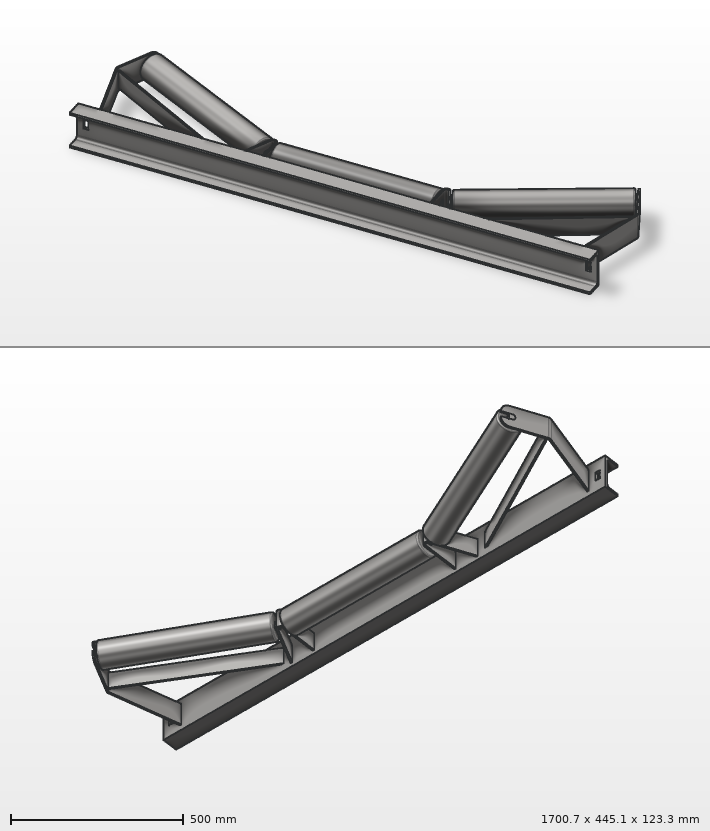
import cadquery as cq
import math


beam_length = 1697.0
beam_height = 120.0
beam_depth = 56.0
web_thickness = 10.0
flange_thickness = 7.1
root_radius = 10.0
slot_width = 17.0
slot_height = 30.0
slot_offset = 820.0

roller_length = 530.0
roller_radius = 45.0
roller_end_radius = 5.0
axle_width = 20.0
trough_angle = 25.0
forward_tilt = 2.0
middle_axis_y = 115.0
middle_roller_below_beam = 3.0
middle_axis_z = roller_radius - beam_height / 2 - middle_roller_below_beam
wing_outer_end = (-789.0, 350.0)

sheet = 6.0
roller_gap = 7.0
middle_roller_gap = 4.3

outer_bracket_width = 80.0
outer_foot_x = -785.0
outer_bend_y = 247.0
outer_bend_radius = 17.0
plate_corner = 27.0
plate_reach = 35.0

inner_bracket_top = 19.0
inner_bracket_bottom = -46.0
inner_bend_radius = 14.0
middle_leg_x = -roller_length / 2 - middle_roller_gap

strut_width = 60.0
strut_foot_x = -398.0



def shifted(point, direction, distance):
    return (point[0] + direction[0] * distance, point[1] + direction[1] * distance)


def unit_vector(start, end):
    length = math.dist(start, end)
    return ((end[0] - start[0]) / length, (end[1] - start[1]) / length)


def on_line_at_x(point, direction, x):
    return (x, point[1] + (x - point[0]) * direction[1] / direction[0])


def on_line_at_y(point, direction, y):
    return (point[0] + (y - point[1]) * direction[0] / direction[1], y)


def crossing(first_point, first_direction, second_point, second_direction):
    """Where two lines meet, each given by a point and a direction."""
    gap = (second_point[0] - first_point[0], second_point[1] - first_point[1])
    cross = first_direction[0] * second_direction[1] - first_direction[1] * second_direction[0]
    distance = (gap[0] * second_direction[1] - gap[1] * second_direction[0]) / cross
    return shifted(first_point, first_direction, distance)


tilt = math.radians(forward_tilt)
rise = math.radians(trough_angle)
along = (math.cos(rise), -math.sin(rise))
across = (math.sin(rise), math.cos(rise))
wing_inner_end = shifted(wing_outer_end, along, roller_length * math.cos(tilt))

plate_outer_face = shifted(wing_outer_end, along, -roller_gap - sheet)
plate_inner_face = shifted(wing_outer_end, along, -roller_gap)
outer_foot = (outer_foot_x, 0)
outer_bend = on_line_at_y(plate_outer_face, across, outer_bend_y)
leg_direction = unit_vector(outer_foot, outer_bend)
leg_inner_foot = shifted(outer_foot, (1, 0), sheet / leg_direction[1])
inner_bend = crossing(plate_inner_face, across, leg_inner_foot, leg_direction)



def sheet_piece(outline, bottom, top):
    return cq.Workplane("XY").workplane(offset=bottom).polyline(outline).close().extrude(top - bottom)


def rounded_bend(piece, corner, radius):
    """Round the Z edge of a sheet piece that passes through an XY corner."""
    reach = 0.2
    low = (corner[0] - reach, corner[1] - reach, -beam_height)
    high = (corner[0] + reach, corner[1] + reach, beam_height)
    return piece.edges("|Z").edges(cq.selectors.BoxSelector(low, high)).fillet(radius)


def axle_bar(start, end, height):
    """Bar along X about the axle line: round below, flat at the given height above the line."""
    radius = axle_width / 2
    return (
        cq.Workplane("YZ")
        .workplane(offset=start)
        .moveTo(height, -radius)
        .lineTo(0, -radius)
        .threePointArc((-radius, 0), (0, radius))
        .lineTo(height, radius)
        .close()
        .extrude(end - start)
    )


def placed_in_wing(piece):
    """Move a piece from the roller's own frame to the left wing."""
    return (
        piece.rotate((0, 0, 0), (0, 1, 0), forward_tilt)
        .rotate((0, 0, 0), (0, 0, 1), -trough_angle)
        .translate((*wing_outer_end, 0))
    )



def make_beam():
    middle_y = -beam_depth / 2
    beam = cq.Workplane("XY").box(beam_length, beam_depth, beam_height).translate((0, middle_y, 0))
    trough = (
        cq.Workplane("XY")
        .box(beam_length, beam_depth, beam_height - 2 * flange_thickness)
        .edges("|X and >Y")
        .fillet(root_radius)
        .translate((0, middle_y - web_thickness, 0))
    )
    slots = (
        cq.Workplane("XZ")
        .pushPoints([(-slot_offset, 0), (slot_offset, 0)])
        .rect(slot_width, slot_height)
        .extrude(beam_depth)
    )
    return beam.cut(trough).cut(slots)


def make_roller():
    """Roller along +X from its end face at the origin, with axle ends that reach through the sheet."""
    overhang = roller_gap + sheet
    shell = cq.Workplane("YZ").circle(roller_radius).extrude(roller_length).edges().fillet(roller_end_radius)
    return shell.union(axle_bar(-overhang, roller_length + overhang, axle_width / 2))


def make_outer_bracket():
    """Bent plate that holds the wing roller's outer axle end in a slot open at the tip."""
    outer_tip = shifted(plate_outer_face, across, plate_reach)
    inner_tip = shifted(plate_inner_face, across, plate_reach)
    outline = [outer_foot, outer_bend, outer_tip, inner_tip, inner_bend, leg_inner_foot]
    half_width = outer_bracket_width / 2
    bracket = sheet_piece(outline, -half_width, half_width)

    tip_middle = shifted(outer_tip, along, sheet / 2)
    for corner_z in (-half_width, half_width):
        corner = cq.selectors.NearestToPointSelector((*tip_middle, corner_z))
        bracket = bracket.edges(corner).fillet(plate_corner)

    bracket = rounded_bend(bracket, outer_bend, outer_bend_radius)
    bracket = rounded_bend(bracket, inner_bend, outer_bend_radius - sheet)

    slot_depth = 2 * (roller_gap + sheet)
    slot = axle_bar(-slot_depth, 0, 2 * plate_reach)
    return bracket.cut(placed_in_wing(slot))


def make_inner_bracket(wing_roller, middle_roller):
    """Folded plate between two rollers, with holes that fit their axle ends."""
    wing_face = shifted(wing_inner_end, along, roller_gap)
    wing_back = shifted(wing_face, along, sheet)
    middle_back_x = middle_leg_x - sheet
    outer_fold = on_line_at_x(wing_face, across, middle_leg_x)
    inner_fold = on_line_at_x(wing_back, across, middle_back_x)
    outline = [
        on_line_at_y(wing_face, across, 0),
        outer_fold,
        (middle_leg_x, 0),
        (middle_back_x, 0),
        inner_fold,
        on_line_at_y(wing_back, across, 0),
    ]
    bracket = sheet_piece(outline, inner_bracket_bottom, inner_bracket_top)
    bracket = rounded_bend(bracket, outer_fold, inner_bend_radius)
    bracket = rounded_bend(bracket, inner_fold, inner_bend_radius - sheet)
    return bracket.cut(wing_roller).cut(middle_roller)


def make_strut(bracket):
    """Flat brace from the beam to the inside of the outer bracket's bend."""
    foot = (strut_foot_x, 0)
    direction = unit_vector(foot, inner_bend)
    upper_foot = shifted(foot, (1, 0), sheet / direction[1])
    upper_end = crossing(upper_foot, direction, plate_inner_face, across)
    outline = [foot, upper_foot, upper_end, inner_bend]
    return sheet_piece(outline, -strut_width / 2, strut_width / 2).cut(bracket)


beam = make_beam()
middle_roller = make_roller().translate((-roller_length / 2, middle_axis_y, middle_axis_z))
wing_roller = placed_in_wing(make_roller())
outer_bracket = make_outer_bracket()
inner_bracket = make_inner_bracket(wing_roller, middle_roller)
strut = make_strut(outer_bracket)

bodies = [beam.solids().val(), middle_roller.solids().val()]
for left_body in (wing_roller, outer_bracket, inner_bracket, strut):
    right_body = left_body.mirror("YZ")
    bodies.append(left_body.solids().val())
    bodies.append(right_body.solids().val())

result = cq.Compound.makeCompound(bodies)